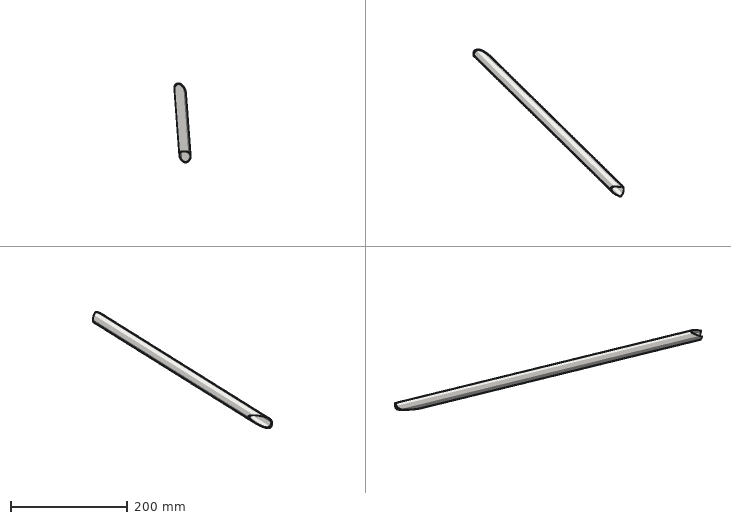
import cadquery as cq
import math

outer_diameter = 20.0
wall = 1.0
heading = 30.0
climb = 3.8

tip_x = 236.5
tip_y = -133.5
stock_length = 665.2
stock_overrun = 47.5

saddle_diameter = 23.8
saddle_heading = 6.0
saddle_distance = 550.0
saddle_raise = 1.0
cutter_size = 190.0

axis = cq.Vector(
    math.cos(math.radians(climb)) * math.cos(math.radians(heading)),
    -math.cos(math.radians(climb)) * math.sin(math.radians(heading)),
    math.sin(math.radians(climb)),
)
tip = cq.Vector(tip_x, tip_y, 0)


def make_rod(diameter):
    """Solid rod along the tube axis, running past the tip."""
    start = tip - axis * (stock_length - stock_overrun)
    return cq.Workplane(cq.Plane(start, normal=axis.toTuple())).circle(diameter / 2).extrude(stock_length)


def cut_point(body):
    """Trim with a face normal to Y and a face square to the climb, meeting at the tip."""
    half = cutter_size / 2
    front_block = cq.Workplane().box(cutter_size, cutter_size, cutter_size).translate((tip_x, tip_y - half, 0))
    lean = math.degrees(math.atan2(axis.z, axis.x))
    end_block = cq.Workplane().box(cutter_size, cutter_size, cutter_size).translate((half, 0, 0))
    end_block = end_block.rotate((0, 0, 0), (0, 1, 0), -lean).translate(tip.toTuple())
    return body.cut(front_block).cut(end_block)


def cut_saddle(body):
    """Remove the crossing tube and everything beyond its axis."""
    crossing = cq.Workplane("YZ").circle(saddle_diameter / 2).extrude(cutter_size, both=True)
    beyond = cq.Workplane().box(2 * cutter_size, cutter_size, cutter_size).translate((0, cutter_size / 2, 0))
    cutter = crossing.union(beyond).rotate((0, 0, 0), (0, 0, 1), -saddle_heading)
    return body.cut(cutter.translate((tip - axis * saddle_distance + cq.Vector(0, 0, saddle_raise)).toTuple()))


tube = make_rod(outer_diameter).cut(make_rod(outer_diameter - 2 * wall))
result = cut_saddle(cut_point(tube))